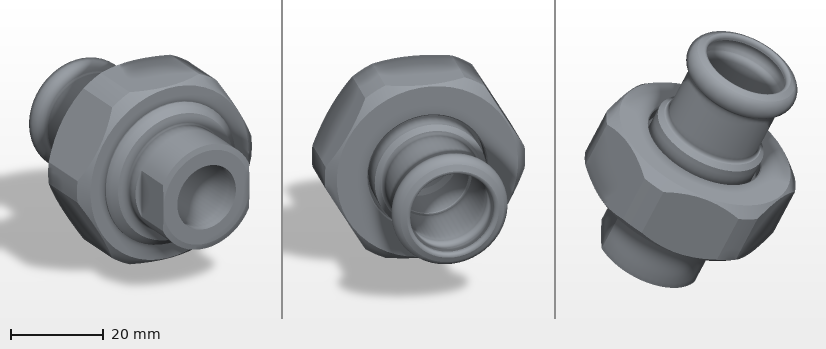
import cadquery as cq
import math

LENGTH = 54.0
NUT_START = 22.95
NUT_END = 39.0
LIP_END = 25.9
SEAT_X = 29.15

PIPE_R = 21.3 / 2
SOCKET_BORE_R = 18.3 / 2
SOCKET_BACK_BORE_R = 17.0 / 2
COLLAR_R = 25.0 / 2
FLANGE_R = 30.3 / 2
MOUTH_R = 18.7 / 2
MOUTH_END = 1.3
MOUTH_ROUND = 0.85
BEAD_X = 3.15
BEAD_R = 12.85
BEAD_SECTION_R = 3.0
RIM_X = 0.65
BEAD_END = 5.95
BEAD_FILLET_END = 6.35
BEAD_FILLET_SAG = 0.05
GROOVE_SECTION_R = 1.75
GROOVE_ARC_END = 4.6
GROOVE_CONE_X = 5.0
GROOVE_CONE_R = 10.25
GROOVE_END = 6.6
COLLAR_FILLET_START = 18.1
COLLAR_CONE_X = 18.9
COLLAR_CONE_R = 11.4
COLLAR_X = 19.9
BORE_STEP_X = COLLAR_X
BORE_STEP_CHAMFER = 0.15

ACROSS_FLATS = 41.0
CORNER_R = 44.65 / 2
NUT_FACE_R = 20.2
NUT_CHAMFER = 2.15
NUT_BORE_R = 26.5 / 2
NUT_BORE_CHAMFER = 0.25

TAIL_R = 24.5 / 2
THREAD_R = 33.1 / 2
TAIL_BORE_R = 14.95 / 2
SEAT_CONE = 1.1
SHOULDER_START = 39.35
SHOULDER_END = 41.45
SHOULDER_R = 29.5 / 2
NECK_X = 41.8
NECK_FILLET = 0.5
END_CHAMFER = 0.3
END_FACE_R = 10.95
FLAT_DISTANCE = 10.95
FLAT_START = 44.95
FLAT_RUNOUT = 0.3


def revolve(outline):
    """Turn a closed (x, radius) outline about the X axis."""
    return outline.close().revolve(360, (0, 0, 0), (1, 0, 0))


def arc_radius(x, center_r, section_r):
    """Radius at x on the bead's or groove's circular section."""
    return center_r + math.sqrt(section_r**2 - (x - BEAD_X)**2)


def make_socket():
    center_r = BEAD_R - BEAD_SECTION_R
    rim_r = arc_radius(RIM_X, center_r, BEAD_SECTION_R)
    bead_end_r = arc_radius(BEAD_END, center_r, BEAD_SECTION_R)
    groove_end_r = arc_radius(GROOVE_ARC_END, center_r, GROOVE_SECTION_R)
    face_r = MOUTH_R + MOUTH_ROUND
    round_mid = MOUTH_ROUND * (1 - math.sqrt(0.5))
    outline = (
        cq.Workplane("XY")
        .moveTo(0, face_r)
        .lineTo(RIM_X, rim_r)
        .threePointArc((BEAD_X, BEAD_R), (BEAD_END, bead_end_r))
        .sagittaArc((BEAD_FILLET_END, PIPE_R), -BEAD_FILLET_SAG)
        .lineTo(COLLAR_FILLET_START, PIPE_R)
        .tangentArcPoint((COLLAR_CONE_X, COLLAR_CONE_R), relative=False)
        .lineTo(COLLAR_X, COLLAR_R)
        .lineTo(LIP_END, COLLAR_R)
        .lineTo(LIP_END, FLANGE_R)
        .lineTo(SEAT_X, FLANGE_R)
        .lineTo(SEAT_X, SOCKET_BACK_BORE_R)
        .lineTo(BORE_STEP_X + BORE_STEP_CHAMFER, SOCKET_BACK_BORE_R)
        .lineTo(BORE_STEP_X, SOCKET_BACK_BORE_R + BORE_STEP_CHAMFER)
        .lineTo(BORE_STEP_X, SOCKET_BORE_R)
        .lineTo(GROOVE_END, SOCKET_BORE_R)
        .tangentArcPoint((GROOVE_CONE_X, GROOVE_CONE_R), relative=False)
        .lineTo(GROOVE_ARC_END, groove_end_r)
        .threePointArc((BEAD_X, center_r + GROOVE_SECTION_R), (MOUTH_END, MOUTH_R))
        .lineTo(MOUTH_ROUND, MOUTH_R)
        .threePointArc((round_mid, MOUTH_R + round_mid), (0, face_r))
    )
    return revolve(outline)


def make_nut():
    hexagon = (
        cq.Workplane("YZ", origin=(NUT_START, 0, 0))
        .polygon(6, ACROSS_FLATS, circumscribed=True)
        .extrude(NUT_END - NUT_START)
        .rotate((0, 0, 0), (1, 0, 0), 30)
    )
    envelope = revolve(
        cq.Workplane("XY")
        .moveTo(NUT_START, 0)
        .lineTo(NUT_START, NUT_FACE_R)
        .lineTo(NUT_START + NUT_CHAMFER, CORNER_R)
        .lineTo(NUT_END - NUT_CHAMFER, CORNER_R)
        .lineTo(NUT_END, NUT_FACE_R)
        .lineTo(NUT_END, 0)
    )
    bore = revolve(
        cq.Workplane("XY")
        .moveTo(NUT_START, 0)
        .lineTo(NUT_START, NUT_BORE_R + NUT_BORE_CHAMFER)
        .lineTo(NUT_START + NUT_BORE_CHAMFER, NUT_BORE_R)
        .lineTo(LIP_END, NUT_BORE_R)
        .lineTo(LIP_END, FLANGE_R)
        .lineTo(SEAT_X, FLANGE_R)
        .lineTo(SEAT_X, THREAD_R)
        .lineTo(NUT_END, THREAD_R)
        .lineTo(NUT_END, 0)
    )
    return hexagon.intersect(envelope).cut(bore)


def make_flat_cutter(side):
    """Cutter for one wrench flat; side is +1 or -1 along Y."""
    depth = TAIL_R - FLAT_DISTANCE
    return (
        cq.Workplane("XY", origin=(0, 0, -TAIL_R))
        .moveTo(FLAT_START, side * FLAT_DISTANCE)
        .lineTo(LENGTH, side * FLAT_DISTANCE)
        .lineTo(LENGTH, side * (TAIL_R + depth))
        .lineTo(FLAT_START - 2 * FLAT_RUNOUT, side * (TAIL_R + depth))
        .close()
        .extrude(2 * TAIL_R)
    )


def make_tail():
    fillet_mid = NECK_FILLET * (1 - math.sqrt(0.5))
    tail = revolve(
        cq.Workplane("XY")
        .moveTo(SEAT_X, SOCKET_BACK_BORE_R)
        .lineTo(SEAT_X, THREAD_R)
        .lineTo(SHOULDER_START, THREAD_R)
        .lineTo(SHOULDER_END, SHOULDER_R)
        .lineTo(NECK_X, TAIL_R + NECK_FILLET)
        .threePointArc(
            (NECK_X + fillet_mid, TAIL_R + fillet_mid),
            (NECK_X + NECK_FILLET, TAIL_R),
        )
        .lineTo(LENGTH - END_CHAMFER, TAIL_R)
        .lineTo(LENGTH, END_FACE_R)
        .lineTo(LENGTH, TAIL_BORE_R)
        .lineTo(SEAT_X + SEAT_CONE, TAIL_BORE_R)
    )
    for side in (-1, 1):
        tail = tail.cut(make_flat_cutter(side))
    return tail


socket = make_socket().solids()
nut = make_nut().solids()
tail_piece = make_tail().solids()

result = cq.Compound.makeCompound([socket.val(), nut.val(), tail_piece.val()])